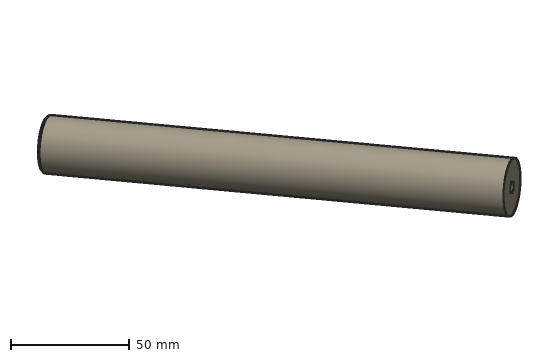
import cadquery as cq

length = 206.0
diameter = 25.0
bore_diameter = 5.0
rim_chamfer = 1.0

shaft = cq.Workplane("YZ").circle(diameter / 2).extrude(length)
shaft = shaft.faces("<X").edges().chamfer(rim_chamfer)

bore = cq.Workplane("YZ").circle(bore_diameter / 2).extrude(length)

result = shaft.cut(bore)